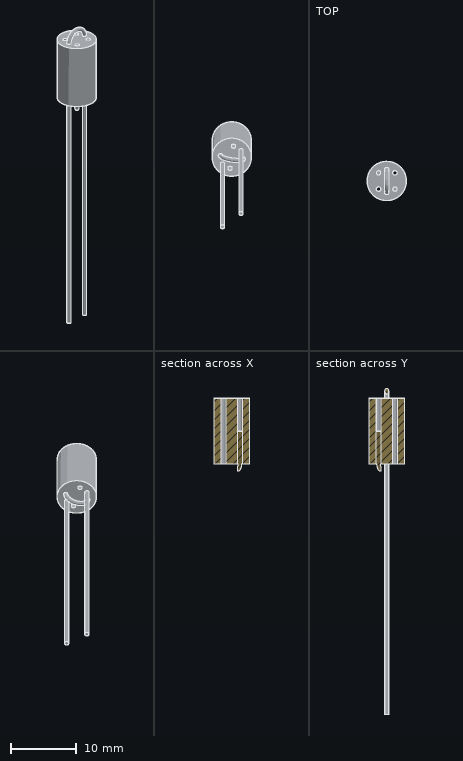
import cadquery as cq
import math

core_diameter = 6.0
core_height = 10.0
wire_diameter = 0.65
hole_circle_radius = 1.75
loop_height = 1.95
leg_depth = core_height / 2
overall_height = 50.05

lead_angles = [90, 270]
open_angles = [45, 225]
lower_loop_angles = [135, 315]
hole_angles = lead_angles + open_angles + lower_loop_angles

wire_radius = wire_diameter / 2
loop_rise = loop_height - wire_radius
lead_bottom = core_height + loop_height - overall_height


def point_on_hole_circle(angle):
    """XY position on the hole circle."""
    turn = math.radians(angle)
    return hole_circle_radius * math.cos(turn), hole_circle_radius * math.sin(turn)


def make_core():
    """Cylinder with six parallel through holes for the wire."""
    core = cq.Workplane("XY").circle(core_diameter / 2).extrude(core_height)
    holes = (
        cq.Workplane("XY")
        .pushPoints([point_on_hole_circle(angle) for angle in hole_angles])
        .circle(wire_radius)
        .extrude(core_height)
    )
    return core.cut(holes)


def make_straight_wire(angle, bottom, top):
    """Straight vertical wire in line with a hole, between two heights."""
    return (
        cq.Workplane("XY", origin=(0, 0, bottom))
        .center(*point_on_hole_circle(angle))
        .circle(wire_radius)
        .extrude(top - bottom)
    )


def make_loop(angle, face_height, side):
    """Wire arc joining two opposite holes; side is +1 above a face and -1 below it."""
    turn = math.radians(angle)
    path_plane = cq.Plane(
        origin=(0, 0, face_height),
        xDir=(math.cos(turn), math.sin(turn), 0),
        normal=(math.sin(turn), -math.cos(turn), 0),
    )
    path = (
        cq.Workplane(path_plane)
        .moveTo(hole_circle_radius, 0)
        .threePointArc((0, side * loop_rise), (-hole_circle_radius, 0))
    )
    start = path.val().positionAt(0)
    tangent = path.val().tangentAt(0)
    section = cq.Workplane(cq.Plane(origin=start, normal=tangent)).circle(wire_radius)
    loop = section.sweep(path)
    trim = (
        cq.Workplane("XY", origin=(0, 0, face_height))
        .circle(core_diameter / 2)
        .extrude(-side * core_height)
    )
    return loop.cut(trim)


def make_lower_loop():
    """Arc below the core with two straight legs that end inside their holes."""
    loop = make_loop(lower_loop_angles[0], 0, -1)
    for angle in lower_loop_angles:
        loop = loop.union(make_straight_wire(angle, 0, leg_depth))
    return loop


core = make_core()
leads = [make_straight_wire(angle, lead_bottom, core_height) for angle in lead_angles]
upper_loop = make_loop(lead_angles[0], core_height, 1)
lower_loop = make_lower_loop()

result = cq.Compound.makeCompound(
    [core.val(), *[lead.val() for lead in leads], upper_loop.val(), lower_loop.val()]
)